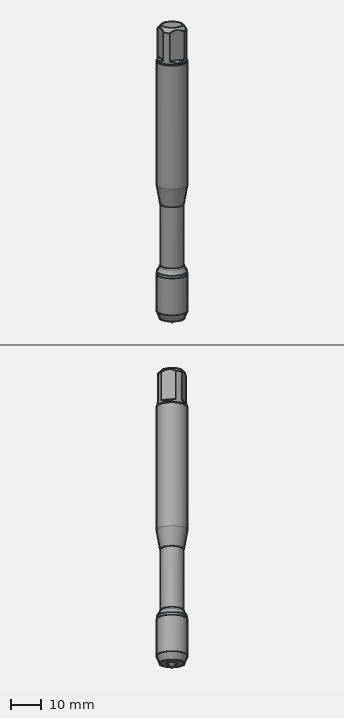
import cadquery as cq

LENGTH = 101.6

THREAD_DIAMETER = 10.2
THREAD_BOTTOM = 4.2
THREAD_TOP = 16.7
LEAD_BOTTOM = 1.9
END_FACE = 1.6
LEAD_DIAMETER = 8.3
END_FACE_DIAMETER = 8.1
CORE_DIAMETER = 7.7

TIP_DIAMETER = 2 * END_FACE

COLLAR_DIAMETER = 10.0
COLLAR_TOP = 17.6
COLLAR_CONE_TOP = 19.2
COLLAR_CONE_DIAMETER = 8.1
NECK_BOTTOM = 19.7

NECK_DIAMETER = 7.7
NECK_TOP = 40.6
TAPER_BOTTOM = 40.9
TAPER_DIAMETER = 7.9
SHANK_DIAMETER = 10.2
SHANK_BOTTOM = 47.2
SHANK_TOP = 89.2

SQUARE_SIDES = 4
SQUARE_DIAMETER = 9.6
SHOULDER_CHAMFER = (SHANK_DIAMETER - SQUARE_DIAMETER) / 2
SQUARE_BOTTOM = 90.7
SQUARE_ACROSS_FLATS = 8.1
END_DIAMETER = 6.8
END_CHAMFER_HEIGHT = 1.4


def revolve_profile(points):
    """Revolve a closed outline of (radius, height) points about Z."""
    return cq.Workplane("XZ").polyline(points).close().revolve(360, (0, 0, 0), (0, 1, 0))


def make_thread():
    """Plain sleeve at the thread's outer diameter, with a conical lead and a small end bevel."""
    return revolve_profile([
        (CORE_DIAMETER / 2, END_FACE),
        (END_FACE_DIAMETER / 2, END_FACE),
        (LEAD_DIAMETER / 2, LEAD_BOTTOM),
        (THREAD_DIAMETER / 2, THREAD_BOTTOM),
        (THREAD_DIAMETER / 2, THREAD_TOP),
        (CORE_DIAMETER / 2, THREAD_TOP),
    ])


def make_turned_shank():
    """Core, pointed tip, collar, neck and shank as one turned shape."""
    return revolve_profile([
        (0, 0),
        (TIP_DIAMETER / 2, END_FACE),
        (CORE_DIAMETER / 2, END_FACE),
        (CORE_DIAMETER / 2, THREAD_TOP),
        (COLLAR_DIAMETER / 2, THREAD_TOP),
        (COLLAR_DIAMETER / 2, COLLAR_TOP),
        (COLLAR_CONE_DIAMETER / 2, COLLAR_CONE_TOP),
        (NECK_DIAMETER / 2, NECK_BOTTOM),
        (NECK_DIAMETER / 2, NECK_TOP),
        (TAPER_DIAMETER / 2, TAPER_BOTTOM),
        (SHANK_DIAMETER / 2, SHANK_BOTTOM),
        (SHANK_DIAMETER / 2, SHANK_TOP),
        (SQUARE_DIAMETER / 2, SHANK_TOP + SHOULDER_CHAMFER),
        (SQUARE_DIAMETER / 2, LENGTH - END_CHAMFER_HEIGHT),
        (END_DIAMETER / 2, LENGTH),
        (0, LENGTH),
    ])


def cut_square(body):
    """Mill four flats that run out at 45 degrees, keeping the round corners."""
    flat = SQUARE_ACROSS_FLATS / 2
    rim = SHANK_DIAMETER / 2
    runout = rim - flat
    waste = (
        cq.Workplane("XZ")
        .polyline([
            (flat, SQUARE_BOTTOM),
            (rim, SQUARE_BOTTOM - runout),
            (rim, LENGTH),
            (flat, LENGTH),
        ])
        .close()
        .extrude(rim, both=True)
    )
    for side in range(SQUARE_SIDES):
        body = body.cut(waste.rotate((0, 0, 0), (0, 0, 1), side * 360 / SQUARE_SIDES))
    return body


thread = make_thread()
shank = cut_square(make_turned_shank())

result = cq.Compound.makeCompound([shank.val(), thread.val()])